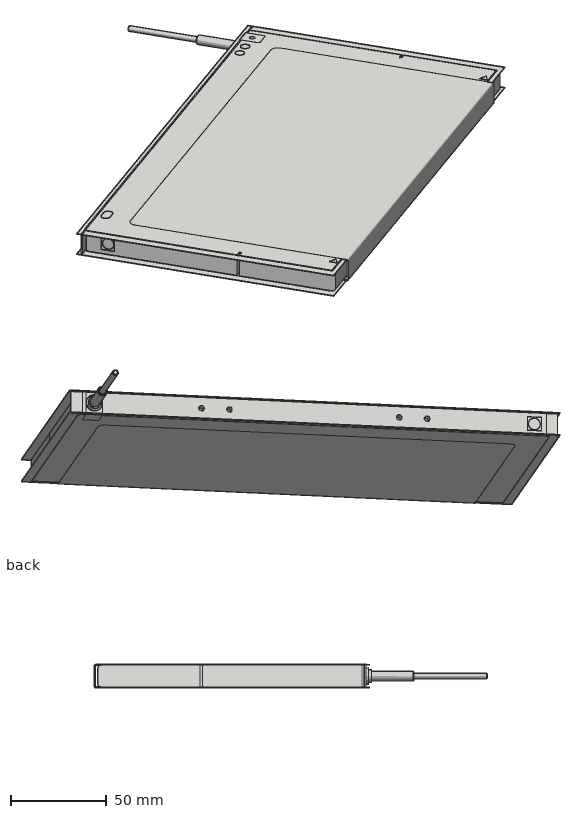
import cadquery as cq

PANEL_LENGTH = 260.5
PANEL_WIDTH = 143.0
PANEL_HEIGHT = 12.5
PLATE_THICKNESS = 0.4
PLATE_SETBACK = 0.13
PLATE_SPAN = PANEL_HEIGHT - 2 * PLATE_SETBACK
PLATE_GAP = PLATE_SPAN - 2 * PLATE_THICKNESS
TOP_Z = PANEL_HEIGHT / 2

CORE_LEFT = 2.9
CORE_RIGHT = 140.2
CORE_LENGTH = 250.4
CORE_CORNER_RADIUS = 1.8

BULGE_RIGHT = 142.2
BULGE_RADIUS = 1.8

WALL_LEFT = 1.8
WALL_LENGTH = 246.5
EAR_LEFT = 2.0
EAR_SPAN = 258.5

SCREEN_LEFT = 21.4
SCREEN_RIGHT = 144.0
SCREEN_LENGTH = 221.5
SCREEN_CORNER_RADIUS = 4.0
SCREEN_THICKNESS = 0.8
FOLD_OUTER_RADIUS = SCREEN_RIGHT - PANEL_WIDTH
FOLD_INNER_RADIUS = FOLD_OUTER_RADIUS - SCREEN_THICKNESS

MARK_DEPTH = 0.3
MARK_X = 7.3
MARK_WIDTH = 5.0
ROUND_MARK_YS = (106.3, 98.2)
SLOT_MARK_Y = -104.2
SLOT_MARK_LENGTH = 8.5
ARROW_X = 137.5
ARROW_WIDTH = 4.5
ARROW_HEIGHT = 4.2
ARROW_BASE_YS = (112.8, -116.0)

SIDE_GROOVE_X = 88.0
SIDE_GROOVE_WIDTH = 1.3
SIDE_GROOVE_DEPTH = 3.5
SIDE_GROOVE_HEIGHT = TOP_Z + PLATE_GAP / 2
KNOCKOUT_SIZE = 7.3
KNOCKOUT_DEPTH = 0.5
KNOCKOUT_HOLE_DIAMETER = 6.3
KNOCKOUT_HOLE_DEPTH = 0.5
FRONT_KNOCKOUT_X = 15.5
SCREW_HOLE_DIAMETER = 2.9
SCREW_HOLE_DEPTH = 5.2
SCREW_HOLE_YS = (-60.0, -45.0, 45.0, 60.0)

CABLE_Y = 117.0
GLAND_LEFT = WALL_LEFT
GLAND_RIGHT = 13.0
GLAND_WIDTH = 8.9
GLAND_CORNER_RADIUS = 1.0
GLAND_HOLE_DIAMETER = 2.9
GLAND_HOLE_DEPTH = 2.5
NECK_LEFT = 0.5
NECK_DIAMETER = 8.5
COLLAR_LEFT = -1.0
COLLAR_DIAMETER = 6.8
SLEEVE_LEFT = -23.2
SLEEVE_DIAMETER = 5.2
SLEEVE_CHAMFER = 0.5
CABLE_LEFT = -61.5
CABLE_DIAMETER = 3.0
CABLE_CHAMFER = 0.5


def box(left, right, y_size, z_size, y_center=0.0):
    """Box from X = left to X = right, centred on Z = 0."""
    return cq.Workplane("XY").box(right - left, y_size, z_size).translate(((left + right) / 2, y_center, 0))


def x_cylinder(left, right, diameter, y):
    """Cylinder along X from left to right at mid height."""
    return cq.Workplane("YZ", origin=(left, y, 0)).circle(diameter / 2).extrude(right - left)


def make_plates():
    """Top and bottom plates."""
    return box(0, PANEL_WIDTH, PANEL_LENGTH, PLATE_SPAN).cut(
        box(0, PANEL_WIDTH, PANEL_LENGTH, PLATE_GAP)
    )


def make_core():
    """Core block with rounded left corners and a rounded bulge on its right side."""
    core = box(CORE_LEFT, CORE_RIGHT, CORE_LENGTH, PANEL_HEIGHT)
    core = core.edges("|Z and <X").fillet(CORE_CORNER_RADIUS)
    bulge = box(CORE_RIGHT, BULGE_RIGHT, CORE_LENGTH, PLATE_GAP)
    return core.union(bulge.edges("|Y and >X").fillet(BULGE_RADIUS))


def make_left_wall():
    """Wall along the left side of the core, thinner at its two ears."""
    wall = box(WALL_LEFT, CORE_LEFT, WALL_LENGTH, PLATE_GAP)
    ears = box(EAR_LEFT, CORE_LEFT, EAR_SPAN, PLATE_GAP)
    return wall.union(ears)


def make_knockout():
    """Square recess with a round hole, opening at Z = 0 and going down -Z."""
    square = cq.Workplane("XY").rect(KNOCKOUT_SIZE, KNOCKOUT_SIZE).extrude(-KNOCKOUT_DEPTH)
    hole = cq.Workplane("XY").circle(KNOCKOUT_HOLE_DIAMETER / 2).extrude(
        -KNOCKOUT_DEPTH - KNOCKOUT_HOLE_DEPTH
    )
    return square.union(hole)


def cut_wall_details(body):
    """Grooves, knockouts and screw holes in the walls of the core."""
    wall_y = CORE_LENGTH / 2
    groove_z = TOP_Z - SIDE_GROOVE_HEIGHT / 2
    for side in (1, -1):
        groove_y = side * (wall_y - SIDE_GROOVE_DEPTH / 2)
        groove_left = SIDE_GROOVE_X - SIDE_GROOVE_WIDTH / 2
        groove_right = SIDE_GROOVE_X + SIDE_GROOVE_WIDTH / 2
        groove = box(groove_left, groove_right, SIDE_GROOVE_DEPTH, SIDE_GROOVE_HEIGHT, groove_y)
        body = body.cut(groove.translate((0, 0, groove_z)))

    front_knockout = make_knockout().rotate((0, 0, 0), (1, 0, 0), 90)
    body = body.cut(front_knockout.translate((FRONT_KNOCKOUT_X, -wall_y, 0)))
    left_knockout = make_knockout().rotate((0, 0, 0), (0, 1, 0), -90)
    body = body.cut(left_knockout.translate((WALL_LEFT, -CABLE_Y, 0)))

    for y in SCREW_HOLE_YS:
        body = body.cut(x_cylinder(WALL_LEFT, WALL_LEFT + SCREW_HOLE_DEPTH, SCREW_HOLE_DIAMETER, y))
    return body


def cut_top_marks(body):
    """Round, slotted and triangular recesses in the top face."""
    top = cq.Workplane("XY", origin=(0, 0, TOP_Z))
    round_marks = top.pushPoints([(MARK_X, y) for y in ROUND_MARK_YS]).circle(MARK_WIDTH / 2)
    body = body.cut(round_marks.extrude(-MARK_DEPTH))
    slot_mark = top.center(MARK_X, SLOT_MARK_Y).slot2D(SLOT_MARK_LENGTH, MARK_WIDTH, 90)
    body = body.cut(slot_mark.extrude(-MARK_DEPTH))
    for base_y in ARROW_BASE_YS:
        arrow = top.polyline([
            (ARROW_X - ARROW_WIDTH / 2, base_y),
            (ARROW_X + ARROW_WIDTH / 2, base_y),
            (ARROW_X, base_y + ARROW_HEIGHT),
        ]).close()
        body = body.cut(arrow.extrude(-MARK_DEPTH))
    return body


def make_screen():
    """U-shaped sheet: two leaves flush with the plates, joined by a fold at the right edge."""
    outer = box(SCREEN_LEFT, SCREEN_RIGHT, SCREEN_LENGTH, PANEL_HEIGHT)
    outer = outer.edges("|Z and <X").fillet(SCREEN_CORNER_RADIUS)
    outer = outer.edges("|Y and >X").fillet(FOLD_OUTER_RADIUS)
    inner_height = PANEL_HEIGHT - 2 * SCREEN_THICKNESS
    inner = box(SCREEN_LEFT, SCREEN_RIGHT - SCREEN_THICKNESS, SCREEN_LENGTH, inner_height)
    inner = inner.edges("|Y and >X").fillet(FOLD_INNER_RADIUS)
    return outer.cut(inner)


def make_gland_block():
    """Block of the cable gland that sits in the core."""
    block = box(GLAND_LEFT, GLAND_RIGHT, GLAND_WIDTH, PANEL_HEIGHT, CABLE_Y)
    return block.edges("|Z and >X").fillet(GLAND_CORNER_RADIUS)


def make_housing(screen):
    """Core, plates and left wall as one solid, with seats for the screen and the gland."""
    housing = make_plates().union(make_core()).union(make_left_wall())
    housing = cut_wall_details(housing)
    housing = cut_top_marks(housing)
    return housing.cut(screen).cut(make_gland_block())


def make_cable():
    """Cable, strain-relief sleeve, collar, neck and gland block as one solid."""
    wire = x_cylinder(CABLE_LEFT, SLEEVE_LEFT, CABLE_DIAMETER, CABLE_Y)
    wire = wire.faces("<X").chamfer(CABLE_CHAMFER)
    sleeve = x_cylinder(SLEEVE_LEFT, COLLAR_LEFT, SLEEVE_DIAMETER, CABLE_Y)
    sleeve = sleeve.faces("<X").chamfer(SLEEVE_CHAMFER)
    collar = x_cylinder(COLLAR_LEFT, NECK_LEFT, COLLAR_DIAMETER, CABLE_Y)
    neck = x_cylinder(NECK_LEFT, GLAND_LEFT, NECK_DIAMETER, CABLE_Y)
    hole = cq.Workplane("XY", origin=(MARK_X, CABLE_Y, TOP_Z)).circle(GLAND_HOLE_DIAMETER / 2)
    block = make_gland_block().cut(hole.extrude(-GLAND_HOLE_DEPTH))
    return block.union(neck).union(collar).union(sleeve).union(wire)


screen = make_screen()
housing = make_housing(screen)
cable = make_cable()
result = cq.Compound.makeCompound([housing.val(), screen.val(), cable.val()])